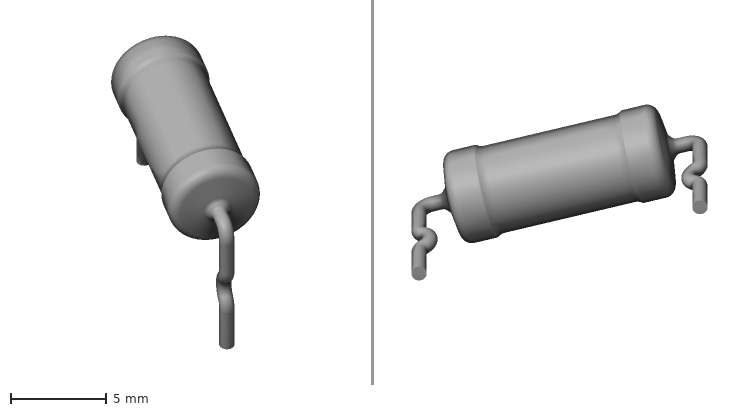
import cadquery as cq
import math

overall_length = 16.04
lead_diameter = 0.8
lead_radius = lead_diameter / 2
lead_x = overall_length / 2 - lead_radius
lead_bottom_z = -8.0

cap_radius = 5.0 / 2
barrel_radius = 4.7 / 2
body_half_length = 6.45
cap_inner_x = 4.0
cap_corner_radius = 0.6
cap_face_tilt = math.radians(10)
neck_fillet_radius = 0.3
neck_cone_radius = 0.64
neck_cone_slope = math.radians(45)
step_length = 0.45
step_convex_share = 0.16

bend_radius = 0.75
kink_top_z = -2.87
kink_bottom_z = -5.49
kink_depth = 0.6


def arc_point(center, radius, angle):
    """Point on a circle in a 2D plane, with the angle in radians."""
    return (center[0] + radius * math.cos(angle), center[1] + radius * math.sin(angle))


def profile_edge(points, side):
    """Line or arc of the body profile in the XZ plane; side -1 mirrors it to the -X end."""
    vectors = [cq.Vector(side * x, 0, r) for x, r in points]
    if len(vectors) == 3:
        return cq.Edge.makeThreePointArc(*vectors)
    return cq.Edge.makeLine(*vectors)


def make_body():
    """Barrel with two raised, domed end caps that flow into necks of the lead diameter."""
    lead_fillet_center = (body_half_length, lead_radius + neck_fillet_radius)
    cone_angle = -math.pi + neck_cone_slope
    face_angle = -math.pi + cap_face_tilt
    neck_tip = (body_half_length, lead_radius)
    lead_fillet_mid = arc_point(lead_fillet_center, neck_fillet_radius, (cone_angle - math.pi / 2) / 2)
    cone_start = arc_point(lead_fillet_center, neck_fillet_radius, cone_angle)
    cone_end_x = cone_start[0] - (neck_cone_radius - cone_start[1]) * math.tan(neck_cone_slope)
    cone_end = (cone_end_x, neck_cone_radius)
    face_fillet_center = arc_point(cone_end, -neck_fillet_radius, cone_angle)
    face_fillet_mid = arc_point(face_fillet_center, neck_fillet_radius, (cone_angle + face_angle) / 2)
    neck_end = arc_point(face_fillet_center, neck_fillet_radius, face_angle)

    corner_r = cap_radius - cap_corner_radius
    corner_start_r = corner_r + cap_corner_radius * math.sin(cap_face_tilt)
    corner_start_x = neck_end[0] - (corner_start_r - neck_end[1]) * math.tan(cap_face_tilt)
    corner_x = corner_start_x - cap_corner_radius * math.cos(cap_face_tilt)
    corner_center = (corner_x, corner_r)
    corner_start = (corner_start_x, corner_start_r)
    corner_mid = arc_point(corner_center, cap_corner_radius, (cap_face_tilt + math.pi / 2) / 2)
    corner_end = (corner_x, cap_radius)

    step_height = cap_radius - barrel_radius
    step_angle = 2 * math.atan(step_height / step_length)
    radius_sum = step_length / math.sin(step_angle)
    convex_radius = step_convex_share * radius_sum
    concave_radius = radius_sum - convex_radius
    convex_center = (cap_inner_x, cap_radius - convex_radius)
    concave_center = (cap_inner_x - step_length, barrel_radius + concave_radius)
    step_start = (cap_inner_x, cap_radius)
    step_convex_mid = arc_point(convex_center, convex_radius, math.pi / 2 + step_angle / 2)
    step_joint = arc_point(convex_center, convex_radius, math.pi / 2 + step_angle)
    step_concave_mid = arc_point(concave_center, concave_radius, -math.pi / 2 + step_angle / 2)
    step_end = (cap_inner_x - step_length, barrel_radius)

    end_outline = [
        (step_end, step_concave_mid, step_joint),
        (step_joint, step_convex_mid, step_start),
        (step_start, corner_end),
        (corner_end, corner_mid, corner_start),
        (corner_start, neck_end),
        (neck_end, face_fillet_mid, cone_end),
        (cone_end, cone_start),
        (cone_start, lead_fillet_mid, neck_tip),
        (neck_tip, (body_half_length, 0)),
    ]
    edges = [profile_edge(points, side) for side in (1, -1) for points in end_outline]
    edges.append(profile_edge((step_end, (-step_end[0], barrel_radius)), 1))
    edges.append(profile_edge(((body_half_length, 0), (-body_half_length, 0)), 1))
    profile = cq.Wire.assembleEdges(edges)
    axis_start = cq.Vector(0, 0, 0)
    axis_end = cq.Vector(1, 0, 0)
    return cq.Workplane(cq.Solid.revolve(profile, [], 360, axis_start, axis_end))


def make_lead(side):
    """Round wire from the body end, bent down and kinked inward; side is +1 or -1 along X."""
    bend_center = (lead_x - bend_radius, -bend_radius)
    bend_mid = arc_point(bend_center, bend_radius, math.pi / 4)

    kink_mid_z = (kink_top_z + kink_bottom_z) / 2
    kink_half_height = (kink_top_z - kink_bottom_z) / 2
    kink_angle = 2 * math.atan(kink_depth / kink_half_height)
    upper_center = (lead_x - bend_radius, kink_top_z)
    lower_center = (lead_x - bend_radius, kink_bottom_z)
    upper_mid = arc_point(upper_center, bend_radius, -kink_angle / 2)
    upper_end = arc_point(upper_center, bend_radius, -kink_angle)
    lower_start = arc_point(lower_center, bend_radius, kink_angle)
    lower_mid = arc_point(lower_center, bend_radius, kink_angle / 2)

    crest_mid = (lead_x - kink_depth, kink_mid_z)

    path = (
        cq.Workplane("XZ")
        .moveTo(body_half_length, 0)
        .lineTo(bend_center[0], 0)
        .threePointArc(bend_mid, (lead_x, -bend_radius))
        .lineTo(lead_x, kink_top_z)
        .threePointArc(upper_mid, upper_end)
        .threePointArc(crest_mid, lower_start)
        .threePointArc(lower_mid, (lead_x, kink_bottom_z))
        .lineTo(lead_x, lead_bottom_z)
    )
    lead = (
        cq.Workplane("YZ", origin=(body_half_length, 0, 0))
        .circle(lead_radius)
        .sweep(path)
    )
    return lead if side > 0 else lead.mirror("YZ")


body = make_body()
leads = [make_lead(side) for side in (-1, 1)]

result = cq.Compound.makeCompound([body.val(), *[lead.val() for lead in leads]])